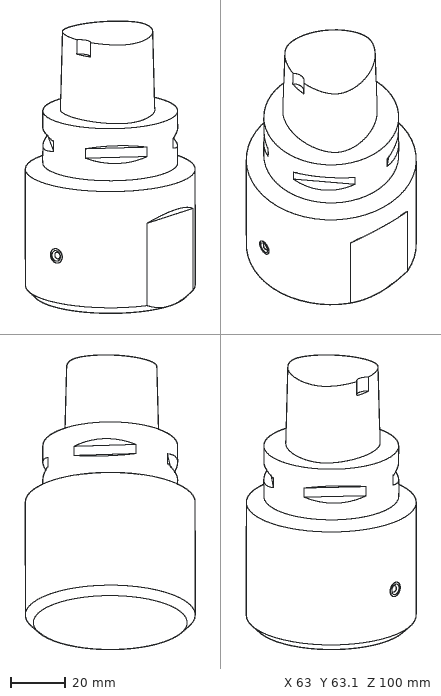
import cadquery as cq
import math

total_height = 100.0
shank_length = 30.0
collar_height = 20.0
collar_base_z = total_height - shank_length - collar_height
shank_base_z = total_height - shank_length

body_radius = 63.0 / 2
collar_radius = 50.0 / 2
shoulder_angle = 20.0
bottom_chamfer = 3.0

shank_base_width = 35.0
shank_taper = 1 / 20
lobe_count = 3
lobe_height = 1.1
first_flank_normal = 30.0
flank_half_angle = 24.0
steps_per_curve = 8

notch_radius = 8.0 / 2
notch_height = 5.5
notch_depth = 1.8

slot_count = 4
slot_first_angle = 45.0
slot_center_z = collar_base_z + collar_height / 2
slot_floor_distance = 22.2
slot_floor_height = 3.6
slot_wall_angle = 30.0
slot_clearance = 1.0

flat_distance = 28.5
flat_height = 34.6

side_axis_z = 21.0
boss_base_radius = 24.0 / 2
boss_top_radius = 12.0 / 2
boss_height = 1.5

plug_radius = 5.5 / 2
plug_reach = 31.6
recess_radius = 4.0 / 2
pin_radius = 2.5 / 2
recess_depth = 0.7
plug_embedment = 3.0
plug_root = body_radius - plug_embedment


def make_body():
    """Body and collar, turned about Z."""
    shoulder_height = (body_radius - collar_radius) * math.tan(math.radians(shoulder_angle))
    return (
        cq.Workplane("XZ")
        .moveTo(0, 0)
        .lineTo(body_radius - bottom_chamfer, 0)
        .lineTo(body_radius, bottom_chamfer)
        .lineTo(body_radius, collar_base_z - shoulder_height)
        .lineTo(collar_radius, collar_base_z)
        .lineTo(collar_radius, shank_base_z)
        .lineTo(0, shank_base_z)
        .close()
        .revolve(360, (0, 0), (0, 1))
    )


def lobed_point(width, normal_angle):
    """Point of the lobed outline where the outward normal has the given angle in degrees."""
    angle = math.radians(normal_angle)
    lobe_phase = lobe_count * (angle - math.pi / 2)
    support = width / 2 + lobe_height * math.cos(lobe_phase)
    slide = -lobe_count * lobe_height * math.sin(lobe_phase)
    return (
        support * math.cos(angle) - slide * math.sin(angle),
        support * math.sin(angle) + slide * math.cos(angle),
    )


def tangent_at(normal_angle):
    """Direction of travel along the outline where the outward normal has the given angle."""
    angle = math.radians(normal_angle)
    return (-math.sin(angle), math.cos(angle))


def add_lobed_outline(plane, width):
    """Closed outline of three flanks and three lobes that meet tangentially."""
    flank_span = 2 * flank_half_angle
    lobe_span = 360 / lobe_count - flank_span
    start = first_flank_normal - flank_half_angle
    outline = plane.moveTo(*lobed_point(width, start))
    for span in (flank_span, lobe_span) * lobe_count:
        step = span / steps_per_curve
        points = [lobed_point(width, start + i * step) for i in range(1, steps_per_curve + 1)]
        tangents = (tangent_at(start), tangent_at(start + span))
        outline = outline.spline(points, tangents=tangents, includeCurrent=True)
        start += span
    return outline.wire()


def make_shank():
    top_width = shank_base_width - shank_taper * shank_length
    base = add_lobed_outline(cq.Workplane("XY", origin=(0, 0, shank_base_z)), shank_base_width)
    shank = add_lobed_outline(base.workplane(offset=shank_length), top_width).loft(ruled=True)
    top_flank_y = -(top_width / 2 - lobe_height)
    notch = (
        cq.Workplane("XY", origin=(0, top_flank_y + notch_depth - notch_radius, total_height))
        .circle(notch_radius)
        .extrude(-notch_height)
    )
    return shank.cut(notch)


def make_slot_cutter(angle):
    """Trapezoidal groove across the collar, opening outward in the +X direction before turning."""
    outer_distance = collar_radius + slot_clearance
    half_floor = slot_floor_height / 2
    flare = (outer_distance - slot_floor_distance) * math.tan(math.radians(slot_wall_angle))
    half_mouth = half_floor + flare
    return (
        cq.Workplane("XZ", origin=(0, 0, slot_center_z))
        .polyline([
            (slot_floor_distance, -half_floor),
            (outer_distance, -half_mouth),
            (outer_distance, half_mouth),
            (slot_floor_distance, half_floor),
        ])
        .close()
        .extrude(collar_radius, both=True)
        .rotate((0, 0, 0), (0, 0, 1), angle)
    )


def make_flat_cutter():
    run_out = body_radius - flat_distance
    return (
        cq.Workplane("XZ")
        .moveTo(flat_distance, 0)
        .lineTo(body_radius, 0)
        .lineTo(body_radius, flat_height + run_out)
        .lineTo(flat_distance, flat_height)
        .close()
        .extrude(body_radius, both=True)
    )


def make_boss():
    """Low cone standing on the flat."""
    return cq.Workplane(cq.Solid.makeCone(
        boss_base_radius, boss_top_radius, boss_height,
        pnt=cq.Vector(flat_distance, 0, side_axis_z), dir=cq.Vector(1, 0, 0),
    ))


def make_plug():
    return (
        cq.Workplane("XZ", origin=(0, -plug_root, side_axis_z))
        .circle(plug_radius)
        .extrude(plug_reach - plug_root)
    )


def make_recess_cutter():
    """Conical recess narrowing from the plug face to the root of the domed pin."""
    return cq.Workplane(cq.Solid.makeCone(
        recess_radius, pin_radius, recess_depth,
        pnt=cq.Vector(0, -plug_reach, side_axis_z), dir=cq.Vector(0, 1, 0),
    ))


def make_dome():
    """Spherical cap that fills the recess floor and rises level with the plug face."""
    recess_floor = plug_reach - recess_depth
    dome_radius = (pin_radius**2 + recess_depth**2) / (2 * recess_depth)
    return (
        cq.Workplane("XY", origin=(0, 0, side_axis_z))
        .moveTo(0, -recess_floor)
        .lineTo(pin_radius, -recess_floor)
        .radiusArc((0, -plug_reach), dome_radius)
        .close()
        .revolve(360, (0, 0), (0, 1))
    )


result = make_body().union(make_shank())
for slot in range(slot_count):
    result = result.cut(make_slot_cutter(slot_first_angle + slot * 360 / slot_count))
result = result.cut(make_flat_cutter()).union(make_boss())
result = result.union(make_plug()).cut(make_recess_cutter()).union(make_dome()).solids()